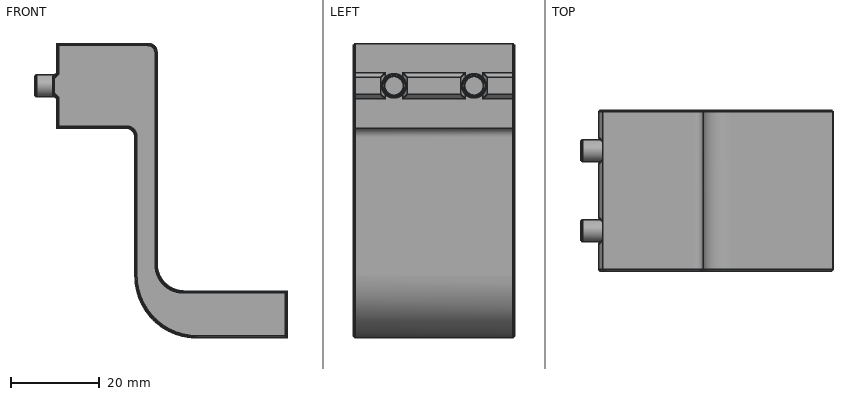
import cadquery as cq

WIDTH = 36.3
HEIGHT = 66.2
LENGTH = 56.75
HEAD_HEIGHT = 19.0
STEM_THICKNESS = 4.95
FOOT_THICKNESS = 10.5
STEM_LEFT = 22.5
TOP_RADIUS = 2.0
INNER_BEND_RADIUS = 6.0
OUTER_BEND_RADIUS = 14.0
EDGE_CHAMFER = 0.43

RAIL_HEIGHT = 1.0
RAIL_BASE = 5.8
GAP_BASE = 4.0

PIN_DIAMETER = 5.0
PIN_PROTRUSION = 4.95
PIN_DEPTH = 2 * PIN_DIAMETER
PIN_TIP_CHAMFER = 0.4
PIN_SPACING = 18.0
PIN_HOLE_DIAMETER = 5.4

HEAD_FACE = PIN_PROTRUSION
RAIL_FACE = HEAD_FACE - RAIL_HEIGHT
STEM_RIGHT = STEM_LEFT + STEM_THICKNESS
HEAD_BOTTOM = HEIGHT - HEAD_HEIGHT
PIN_Z = HEIGHT - HEAD_HEIGHT / 2
PIN_Y = [-PIN_SPACING / 2, PIN_SPACING / 2]


def side_profile():
    """Closed Z-shaped outline of the bracket, with the rail on the head face."""
    rail_half_base = RAIL_BASE / 2
    rail_half_top = rail_half_base - RAIL_HEIGHT
    return (
        cq.Workplane("XZ", origin=(0, WIDTH / 2, 0))
        .moveTo(HEAD_FACE, HEIGHT)
        .lineTo(STEM_RIGHT - TOP_RADIUS, HEIGHT)
        .radiusArc((STEM_RIGHT, HEIGHT - TOP_RADIUS), TOP_RADIUS)
        .lineTo(STEM_RIGHT, FOOT_THICKNESS + INNER_BEND_RADIUS)
        .radiusArc((STEM_RIGHT + INNER_BEND_RADIUS, FOOT_THICKNESS), -INNER_BEND_RADIUS)
        .lineTo(LENGTH, FOOT_THICKNESS)
        .lineTo(LENGTH, 0)
        .lineTo(STEM_LEFT + OUTER_BEND_RADIUS, 0)
        .radiusArc((STEM_LEFT, OUTER_BEND_RADIUS), OUTER_BEND_RADIUS)
        .lineTo(STEM_LEFT, HEAD_BOTTOM - TOP_RADIUS)
        .radiusArc((STEM_LEFT - TOP_RADIUS, HEAD_BOTTOM), -TOP_RADIUS)
        .lineTo(HEAD_FACE, HEAD_BOTTOM)
        .lineTo(HEAD_FACE, PIN_Z - rail_half_base)
        .lineTo(RAIL_FACE, PIN_Z - rail_half_top)
        .lineTo(RAIL_FACE, PIN_Z + rail_half_top)
        .lineTo(HEAD_FACE, PIN_Z + rail_half_base)
        .close()
    )


def rail_gap(y):
    """Cutter with 45 degree sides that interrupts the rail around one pin."""
    half_base = GAP_BASE / 2
    half_top = half_base + RAIL_HEIGHT
    return (
        cq.Workplane("XY", origin=(0, y, PIN_Z - RAIL_BASE / 2))
        .moveTo(HEAD_FACE, -half_base)
        .lineTo(RAIL_FACE, -half_top)
        .lineTo(RAIL_FACE, half_top)
        .lineTo(HEAD_FACE, half_base)
        .close()
        .extrude(RAIL_BASE)
    )


def pin_hole(y):
    """Cutter for the blind hole around one pin, with the pin seated on its floor."""
    return (
        cq.Workplane("YZ", origin=(0, y, PIN_Z))
        .circle(PIN_HOLE_DIAMETER / 2)
        .extrude(HEAD_FACE + PIN_DEPTH)
    )


def make_bracket():
    body = side_profile().extrude(WIDTH).faces("<Y or >Y").chamfer(EDGE_CHAMFER)
    for y in PIN_Y:
        body = body.cut(rail_gap(y)).cut(pin_hole(y))
    return body


def make_pin(y):
    return (
        cq.Workplane("YZ", origin=(0, y, PIN_Z))
        .circle(PIN_DIAMETER / 2)
        .extrude(PIN_PROTRUSION + PIN_DEPTH)
        .faces("<X")
        .chamfer(PIN_TIP_CHAMFER)
    )


bracket = make_bracket()
pins = [make_pin(y) for y in PIN_Y]

result = cq.Compound.makeCompound([bracket.val(), *[pin.val() for pin in pins]])